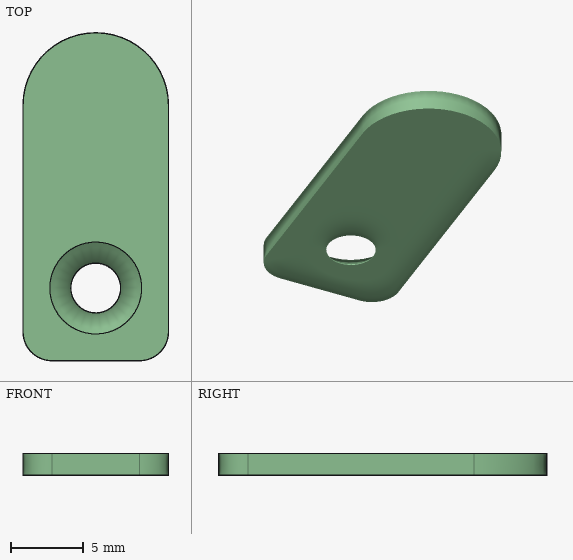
import cadquery as cq

length = 22.5
width = 10.0
thickness = 1.5
corner_radius = 2.0
hole_diameter = 3.4
countersink_diameter = 6.3
countersink_angle = 90.0
hole_to_square_end = 5.0

end_radius = width / 2
straight_length = length - end_radius


def tab_plate():
    """Flat tab with a full round at +Y and two rounded corners at the square end."""
    plate = (
        cq.Workplane("XY")
        .moveTo(-end_radius, 0)
        .lineTo(end_radius, 0)
        .lineTo(end_radius, straight_length)
        .threePointArc((0, length), (-end_radius, straight_length))
        .close()
        .extrude(thickness)
    )
    square_end_corners = plate.faces("<Y").edges("|Z")
    return square_end_corners.fillet(corner_radius)


def add_screw_hole(plate):
    """Countersunk through hole on the centre line, near the square end."""
    return (
        plate.faces(">Z")
        .workplane(origin=(0, hole_to_square_end, thickness))
        .cskHole(hole_diameter, countersink_diameter, countersink_angle)
    )


result = add_screw_hole(tab_plate())